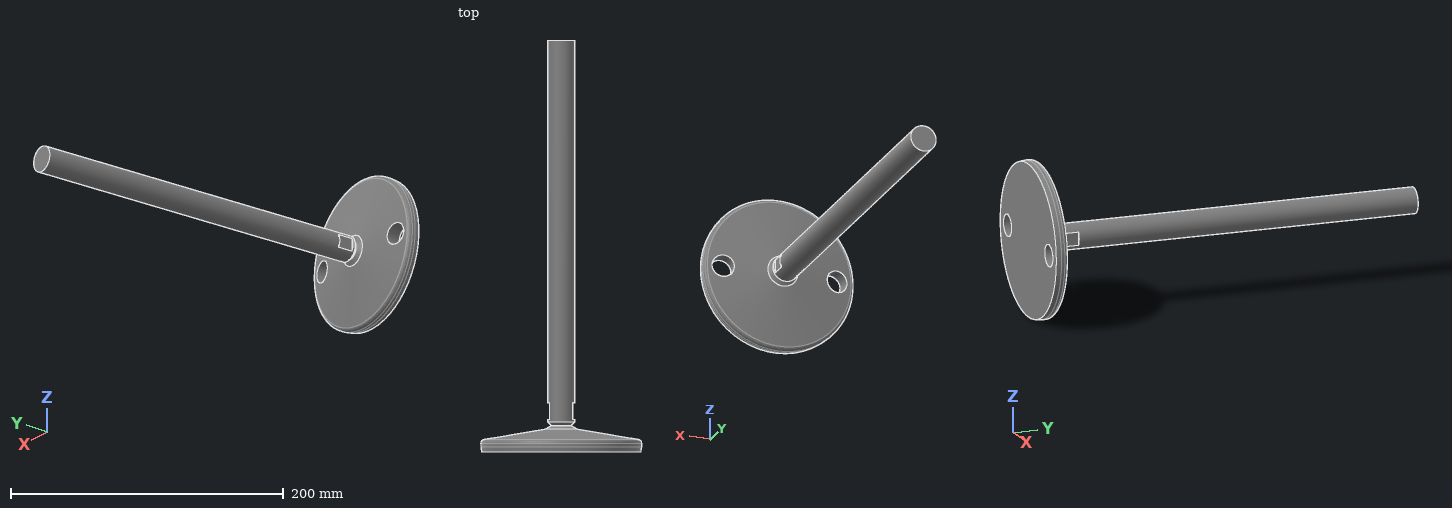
import cadquery as cq
import math

total_length = 302.0
foot_radius = 118.0 / 2
spindle_radius = 20.0 / 2
neck_radius = 7.5

rim_height = 9.0
cone_angle = 9.5
rim_fillet = 3.0
hub_radius = 11.8
hub_height = 2.5
cone_height = (foot_radius - hub_radius) * math.tan(math.radians(cone_angle))
cone_top = rim_height + cone_height
foot_top = cone_top + hub_height

taper_height = 4.0
taper_inset = 0.5

hole_diameter = 16.5
hole_offset = 43.0
hole_length = 60.5

neck_length = 0.3
chamfer = spindle_radius - neck_radius
shoulder_start = foot_top + neck_length
flat_start = 24.2
flat_length = 12.0
across_flats = 17.2


def revolve_about_y(profile):
    return profile.close().revolve(360, (0, 0, 0), (0, 1, 0))


def make_hole_cutter(side):
    """Cylinder leaning outward on the given side (+1 or -1 in X)."""
    lean = math.radians(cone_angle)
    axis = cq.Vector(side * math.sin(lean), math.cos(lean), 0)
    start = cq.Vector(side * hole_offset, 0, 0) - axis * (hole_length / 2)
    return cq.Solid.makeCylinder(hole_diameter / 2, hole_length, start, axis)


def make_foot():
    disc = revolve_about_y(
        cq.Workplane("XY")
        .lineTo(foot_radius - taper_inset, 0)
        .lineTo(foot_radius, taper_height)
        .lineTo(foot_radius, rim_height)
        .lineTo(hub_radius, cone_top)
        .lineTo(neck_radius, foot_top)
        .lineTo(0, foot_top)
    )
    rim_edge = cq.selectors.RadiusNthSelector(-1)
    foot = disc.edges(rim_edge).edges(">Y").fillet(rim_fillet)
    for side in (-1, 1):
        foot = foot.cut(cq.Workplane(make_hole_cutter(side)))
    return foot


def make_spindle():
    spindle = revolve_about_y(
        cq.Workplane("XY")
        .moveTo(0, foot_top)
        .lineTo(neck_radius, foot_top)
        .lineTo(neck_radius, shoulder_start)
        .lineTo(spindle_radius, shoulder_start + chamfer)
        .lineTo(spindle_radius, total_length)
        .lineTo(0, total_length)
    )
    for side in (-1, 1):
        flat = cq.Workplane("XY").box(spindle_radius, flat_length, 2 * spindle_radius).translate(
            (side * (across_flats + spindle_radius) / 2, flat_start + flat_length / 2, 0)
        )
        spindle = spindle.cut(flat)
    return spindle


foot = make_foot()
spindle = make_spindle()

result = cq.Compound.makeCompound([foot.val(), spindle.val()])